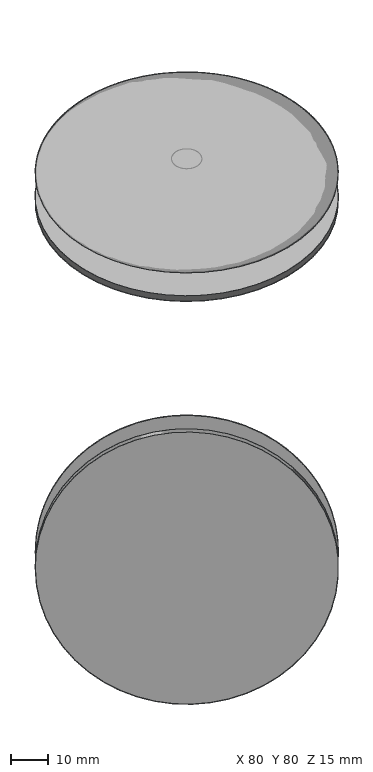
import cadquery as cq

flange_radius = 40.0
flange_thickness = 2.0
hub_radius = 15.0
hub_height = 8.0
dome_height = 5.0
crown_radius = 4.0

dome_base = flange_thickness + hub_height
dome_top = dome_base + dome_height


def make_flange():
    """Flat round disc at the bottom."""
    return cq.Workplane("XY").circle(flange_radius).extrude(flange_thickness)


def make_hub():
    """Cylinder joining the flange to the dome."""
    return (
        cq.Workplane("XY")
        .workplane(offset=flange_thickness)
        .circle(hub_radius)
        .extrude(hub_height)
    )


def make_dome():
    """Cap whose side is a quarter ellipse running from the rim up to the flat crown."""
    profile = (
        cq.Workplane("XZ")
        .moveTo(0, dome_base)
        .lineTo(flange_radius, dome_base)
        .ellipseArc(
            flange_radius - crown_radius,
            dome_height,
            angle1=0,
            angle2=90,
            startAtCurrent=True,
        )
        .lineTo(0, dome_top)
        .close()
    )
    return profile.revolve(360, (0, 0, 0), (0, 1, 0))


result = make_flange().union(make_hub()).union(make_dome())